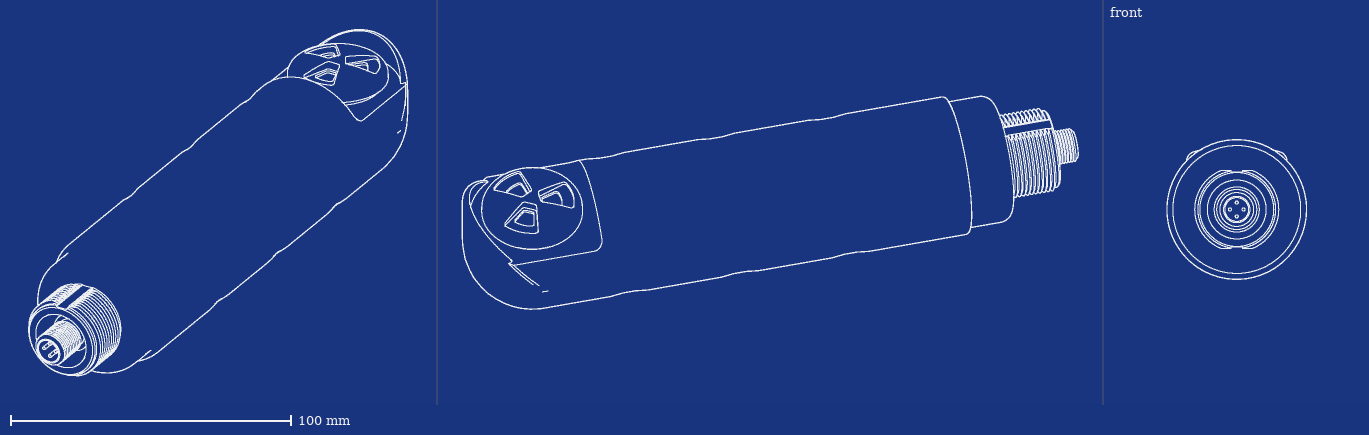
import cadquery as cq
import math

TOTAL_LENGTH = 223.8

BODY_RADIUS = 24.95
BODY_END_Y = 43.5
SHOULDER_FILLET = 1.1
BAND_LENGTH = 13.7
BAND_DEPTH = 0.55
BAND_PITCH = 40.5
FIRST_BAND_Y = 80.0
BAND_COUNT = 3

BASE_RADIUS = 22.8
BASE_ROOT_FILLET = 1.0
BASE_END_Y = 26.9
BASE_FILLET = 4.5

TUBE_END_Y = 8.5
TUBE_CHAMFER = 0.7
TUBE_CORE_RADIUS = 13.9
TUBE_THREAD_RADIUS = 15.0
TUBE_PITCH = 1.5
TUBE_RIDGES = 10
TUBE_THREAD_Y = 10.3
TUBE_FLAT_Z = 13.99
KEYWAY_WIDTH = 4.3
KEYWAY_FLOOR_Z = 13.5
BORE_MOUTH_RADIUS = 10.5
BORE_FLOOR_RADIUS = 8.0

HEAD_Y = TOTAL_LENGTH - BODY_RADIUS
SEAT_Z = 13.0
NOTCH_WALL_Y = 177.7
NOTCH_FILLET = 3.4
HOOD_INNER_RADIUS = 22.4
HOOD_FILLET = 2.2
HOOD_PLANE_RISE = 1.3

STEM_RADIUS = 15.7
LIP_RADIUS = 18.02
LIP_BOTTOM_Z = 15.5
LIP_EDGE_Z = 17.0
DOME_RADIUS = 15.5
DOME_EDGE_Z = 20.5
DOME_TOP_Z = 22.8

VENT_COUNT = 3
VENT_FIRST_ANGLE = 30.0
VENT_INNER = 2.7
VENT_OUTER = 15.0
VENT_INNER_HALF_WIDTH = 2.5
VENT_OUTER_HALF_WIDTH = 6.5
VENT_CORNER = 1.1
VENT_FLOOR_Z = 19.7
VENT_STEP = 1.1
VENT_WELL_OUTER = 10.7
VENT_WELL_HALF_WIDTH = 3.8
VENT_WELL_DEPTH = 1.0

PLUG_CORE_RADIUS = 5.4
PLUG_THREAD_RADIUS = 6.0
PLUG_PITCH = 1.0
PLUG_RIDGES = 12
PLUG_COLLAR_RADIUS = 7.2
PLUG_COLLAR_LENGTH = 11.2
PLUG_CHAMFER = 0.7
SOCKET_RADIUS = 4.3
SOCKET_DEPTH = 9.0
PIN_COUNT = 4
PIN_CIRCLE_RADIUS = 2.5
PIN_RADIUS = 0.55
PIN_RECESS = 1.0

CLEARANCE = 44.8


def add_ridges(profile, start_y, pitch, count, root, crest):
    """Continue a profile along +Y with V-shaped thread ridges."""
    for i in range(count):
        ridge_y = start_y + i * pitch
        profile = profile.lineTo(crest, ridge_y + pitch / 2).lineTo(root, ridge_y + pitch)
    return profile


def revolve_about_y(profile):
    return profile.close().revolve(360, (0, 0, 0), (0, 1, 0))


def make_tube():
    """Externally threaded tube with flats and keyways on its top and bottom."""
    profile = cq.Workplane("XY").moveTo(0, TUBE_END_Y)
    profile = profile.lineTo(TUBE_CORE_RADIUS - TUBE_CHAMFER, TUBE_END_Y)
    profile = profile.lineTo(TUBE_CORE_RADIUS, TUBE_END_Y + TUBE_CHAMFER)
    profile = profile.lineTo(TUBE_CORE_RADIUS, TUBE_THREAD_Y)
    profile = add_ridges(
        profile, TUBE_THREAD_Y, TUBE_PITCH, TUBE_RIDGES, TUBE_CORE_RADIUS, TUBE_THREAD_RADIUS
    )
    profile = profile.lineTo(TUBE_CORE_RADIUS, BASE_END_Y).lineTo(0, BASE_END_Y)
    tube = revolve_about_y(profile)
    flats = cq.Workplane("XY").box(CLEARANCE, 2 * CLEARANCE, 2 * TUBE_FLAT_Z)
    tube = tube.intersect(flats)
    for side in (-1, 1):
        keyway = (
            cq.Workplane("XY", origin=(0, TUBE_END_Y, side * KEYWAY_FLOOR_Z))
            .rect(KEYWAY_WIDTH, BASE_END_Y - TUBE_END_Y, centered=(True, False))
            .extrude(side * CLEARANCE)
        )
        tube = tube.cut(keyway)
    return tube


def make_bore():
    """Tapered bore of the tube, open at the tube end."""
    profile = (
        cq.Workplane("XY")
        .moveTo(0, TUBE_END_Y)
        .lineTo(BORE_MOUTH_RADIUS, TUBE_END_Y)
        .lineTo(BORE_FLOOR_RADIUS, BASE_END_Y)
        .lineTo(0, BASE_END_Y)
    )
    return revolve_about_y(profile)


def make_barrel():
    """Base cap and barrel with shallow concave grip bands, up to the end of the head."""
    turn = math.sqrt(0.5)
    profile = (
        cq.Workplane("XY")
        .moveTo(0, BASE_END_Y)
        .lineTo(BASE_RADIUS - BASE_FILLET, BASE_END_Y)
        .threePointArc(
            (BASE_RADIUS - BASE_FILLET * (1 - turn), BASE_END_Y + BASE_FILLET * (1 - turn)),
            (BASE_RADIUS, BASE_END_Y + BASE_FILLET),
        )
        .lineTo(BASE_RADIUS, BODY_END_Y - BASE_ROOT_FILLET)
        .threePointArc(
            (
                BASE_RADIUS + BASE_ROOT_FILLET * (1 - turn),
                BODY_END_Y - BASE_ROOT_FILLET * (1 - turn),
            ),
            (BASE_RADIUS + BASE_ROOT_FILLET, BODY_END_Y),
        )
        .lineTo(BODY_RADIUS - SHOULDER_FILLET, BODY_END_Y)
        .threePointArc(
            (
                BODY_RADIUS - SHOULDER_FILLET * (1 - turn),
                BODY_END_Y + SHOULDER_FILLET * (1 - turn),
            ),
            (BODY_RADIUS, BODY_END_Y + SHOULDER_FILLET),
        )
    )
    for i in range(BAND_COUNT):
        band_y = FIRST_BAND_Y + i * BAND_PITCH
        profile = profile.lineTo(BODY_RADIUS, band_y).threePointArc(
            (BODY_RADIUS - BAND_DEPTH, band_y + BAND_LENGTH / 2),
            (BODY_RADIUS, band_y + BAND_LENGTH),
        )
    profile = profile.lineTo(BODY_RADIUS, HEAD_Y).lineTo(0, HEAD_Y)
    return revolve_about_y(profile)


def make_dome():
    """Quarter sphere closing the barrel and the flat seat block above it, inside the hood."""
    head_center = (0, HEAD_Y, 0)
    lower = cq.Workplane("XY").sphere(BODY_RADIUS, angle2=0).translate(head_center)
    upright = (
        cq.Workplane("XY").center(0, HEAD_Y).ellipse(BODY_RADIUS, HOOD_INNER_RADIUS).extrude(SEAT_Z)
    )
    along = cq.Workplane("XZ", origin=head_center).circle(BODY_RADIUS).extrude(-BODY_RADIUS)
    return lower.union(upright.intersect(along))


def make_hood():
    """Upright half cylinder cut by a 45 degree plane, with a rounded rim."""
    block = (
        cq.Workplane("XY", origin=(0, HEAD_Y, -CLEARANCE))
        .moveTo(-BODY_RADIUS, -CLEARANCE)
        .lineTo(BODY_RADIUS, -CLEARANCE)
        .lineTo(BODY_RADIUS, 0)
        .threePointArc((0, BODY_RADIUS), (-BODY_RADIUS, 0))
        .close()
        .extrude(2 * CLEARANCE)
    )
    reach = 2 * CLEARANCE
    above_rim = (
        cq.Workplane("YZ", origin=(-CLEARANCE, HEAD_Y, HOOD_PLANE_RISE))
        .polyline([(-reach, -reach), (reach, reach), (-reach, reach)])
        .close()
        .extrude(2 * CLEARANCE)
    )
    block = block.cut(above_rim)
    rim_face = block.faces(cq.selectors.ParallelDirSelector(cq.Vector(0, -1, 1)))
    rounded = rim_face.edges("not (|X)").fillet(HOOD_FILLET)
    keep = (
        cq.Workplane("XY", origin=(0, HEAD_Y, 0))
        .rect(2 * CLEARANCE, CLEARANCE, centered=(True, False))
        .extrude(CLEARANCE)
    )
    return rounded.intersect(keep)


def make_notch():
    """Space above the seat, with a rounded inside corner at the barrel wall."""
    slot = (
        cq.Workplane("XY", origin=(0, NOTCH_WALL_Y, SEAT_Z))
        .rect(2 * CLEARANCE, HEAD_Y - NOTCH_WALL_Y, centered=(True, False))
        .extrude(CLEARANCE)
        .edges("|X and <Y and <Z")
        .fillet(NOTCH_FILLET)
    )
    well = (
        cq.Workplane("XY", origin=(0, HEAD_Y, SEAT_Z))
        .moveTo(HOOD_INNER_RADIUS, 0)
        .threePointArc((0, HOOD_INNER_RADIUS), (-HOOD_INNER_RADIUS, 0))
        .close()
        .extrude(CLEARANCE)
    )
    return slot.union(well)


def vent_prism(inner, inner_half_width, outer, outer_half_width, floor_z):
    """Wedge pointing away from the sounder centre along +X, with rounded upright edges."""
    corner_x = math.sqrt(outer**2 - outer_half_width**2)
    return (
        cq.Workplane("XY", origin=(0, 0, floor_z))
        .moveTo(inner, -inner_half_width)
        .lineTo(corner_x, -outer_half_width)
        .threePointArc((outer, 0), (corner_x, outer_half_width))
        .lineTo(inner, inner_half_width)
        .close()
        .extrude(DOME_TOP_Z - floor_z)
        .edges("|Z")
        .fillet(VENT_CORNER)
    )


def make_vent():
    """Vent window pointing along +X, with a deeper well near the sounder centre."""
    window = vent_prism(
        VENT_INNER, VENT_INNER_HALF_WIDTH, VENT_OUTER, VENT_OUTER_HALF_WIDTH, VENT_FLOOR_Z
    )
    well = vent_prism(
        VENT_INNER + VENT_STEP,
        VENT_INNER_HALF_WIDTH - VENT_STEP / 2,
        VENT_WELL_OUTER,
        VENT_WELL_HALF_WIDTH,
        VENT_FLOOR_Z - VENT_WELL_DEPTH,
    )
    return window.union(well)


def make_sounder():
    """Stem, rounded lip and domed top as one revolved shape, with the vents cut into the dome."""
    dome_rise = DOME_TOP_Z - DOME_EDGE_Z
    sphere_radius = (DOME_RADIUS**2 + dome_rise**2) / (2 * dome_rise)
    half_angle = math.asin(DOME_RADIUS / sphere_radius) / 2
    dome_middle_r = sphere_radius * math.sin(half_angle)
    dome_middle_z = DOME_TOP_Z - sphere_radius * (1 - math.cos(half_angle))
    profile = (
        cq.Workplane("XZ")
        .moveTo(0, SEAT_Z)
        .lineTo(STEM_RADIUS, SEAT_Z)
        .lineTo(STEM_RADIUS, LIP_BOTTOM_Z)
        .lineTo(LIP_RADIUS, LIP_BOTTOM_Z)
        .lineTo(LIP_RADIUS, LIP_EDGE_Z)
        .tangentArcPoint((DOME_RADIUS, DOME_EDGE_Z), relative=False)
        .threePointArc((dome_middle_r, dome_middle_z), (0, DOME_TOP_Z))
        .close()
    )
    sounder = profile.revolve(360, (0, 0, 0), (0, 1, 0))
    for i in range(VENT_COUNT):
        angle = VENT_FIRST_ANGLE + i * 360 / VENT_COUNT
        sounder = sounder.cut(make_vent().rotate((0, 0, 0), (0, 0, 1), angle))
    return sounder.translate((0, HEAD_Y, 0))


def make_housing():
    """Handle with base cap, hooded head, sounder and mounting tube as one solid."""
    housing = make_barrel().union(make_dome()).union(make_hood())
    housing = housing.cut(make_notch()).union(make_sounder())
    return housing.union(make_tube()).cut(make_bore()).solids()


def make_plug():
    """Threaded plug with a collar seated on the bore floor and contact pins in its socket."""
    profile = (
        cq.Workplane("XY")
        .moveTo(0, 0)
        .lineTo(PLUG_CORE_RADIUS - PLUG_CHAMFER, 0)
        .lineTo(PLUG_CORE_RADIUS, PLUG_CHAMFER)
    )
    profile = add_ridges(
        profile, PLUG_CHAMFER, PLUG_PITCH, PLUG_RIDGES, PLUG_CORE_RADIUS, PLUG_THREAD_RADIUS
    )
    collar_y = BASE_END_Y - PLUG_COLLAR_LENGTH
    profile = profile.lineTo(PLUG_CORE_RADIUS, collar_y).lineTo(PLUG_COLLAR_RADIUS, collar_y)
    profile = profile.lineTo(PLUG_COLLAR_RADIUS, BASE_END_Y).lineTo(0, BASE_END_Y)
    plug = revolve_about_y(profile)
    socket = cq.Workplane("XZ").circle(SOCKET_RADIUS).extrude(-SOCKET_DEPTH)
    pins = (
        cq.Workplane("XZ", origin=(0, PIN_RECESS, 0))
        .polarArray(PIN_CIRCLE_RADIUS, 0, 360, PIN_COUNT)
        .circle(PIN_RADIUS)
        .extrude(-SOCKET_DEPTH)
    )
    return plug.cut(socket).union(pins).solids()


housing = make_housing()
plug = make_plug()
result = cq.Compound.makeCompound([housing.val(), plug.val()])